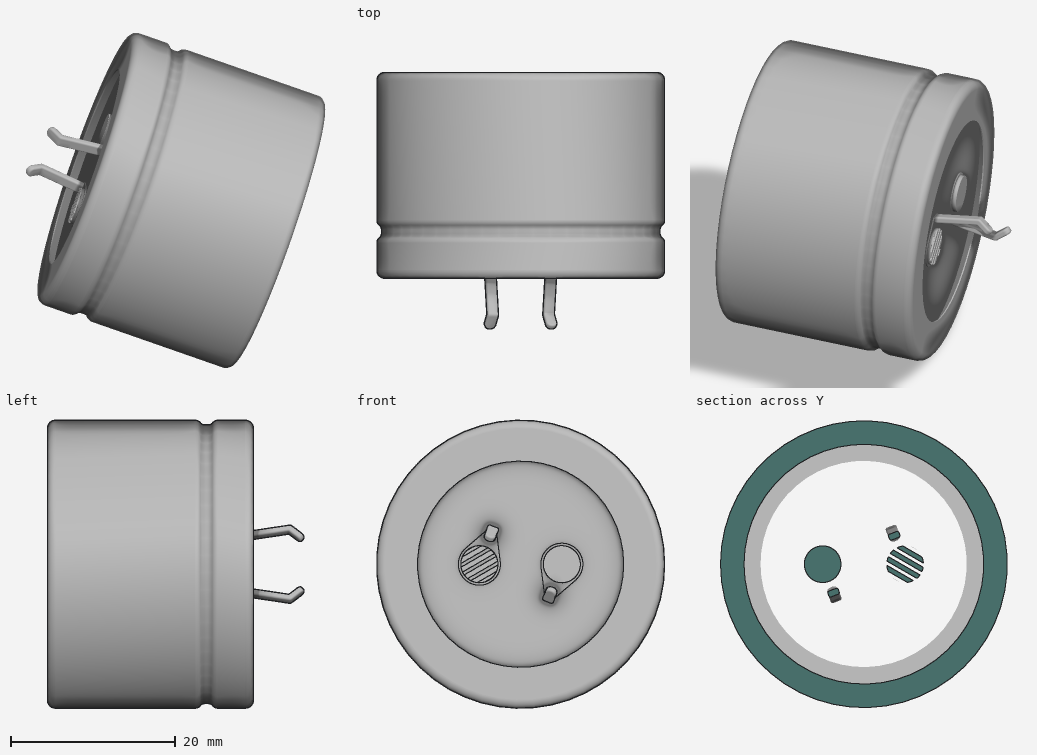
import cadquery as cq
import math

CAN_DIAMETER = 34.95
CAN_RADIUS = CAN_DIAMETER / 2
CAN_LENGTH = 25.0
CAN_EDGE_RADIUS = 1.0
AXIS_START = (0, 0, 0)
AXIS_END = (0, 1, 0)

GROOVE_CENTER = 5.7
GROOVE_DEPTH = 0.55
GROOVE_FLOOR_WIDTH = 0.55
GROOVE_RIM_RADIUS = 0.8
GROOVE_ROOT_RADIUS = 0.6

LIP_DIAMETER = 25.0
LIP_THICKNESS = 0.15
LID_DIAMETER = 29.0
LID_DEPTH = 1.2

TERMINAL_OFFSET = 5.0
TERMINAL_ANGLE = 21.0
PLATE_RADIUS = 2.55
PLATE_THICKNESS = 0.15
PLATE_LENGTH = 4.0
PLATE_END_WIDTH = 1.5
RIVET_DIAMETER = 4.5
RIVET_HEIGHT = 0.5

PIN_WIDTH = 1.4
PIN_THICKNESS = 0.8
PIN_EDGE_RADIUS = 0.25
PIN_TIP_RADIUS = 0.65
PIN_BEND_RADIUS = 0.5
PIN_ROOT_REACH = 3.8
PIN_BEND_REACH = 4.5
PIN_BEND_HEIGHT = 4.4
PIN_TIP_ANGLE = 39.0
PIN_END_HEIGHT = 6.14

MARK_COUNT = 5
MARK_PITCH = 1.0
MARK_WIDTH = 0.4
MARK_DEPTH = 0.2
MARK_ANGLE = 30.0


def along_axis(y_position):
    """Workplane at the given y, facing -Y, with local axes X and Z."""
    return cq.Workplane("XZ", origin=(0, y_position, 0))


def make_can():
    can = along_axis(0).circle(CAN_RADIUS).extrude(-CAN_LENGTH)
    return can.edges().fillet(CAN_EDGE_RADIUS)


def make_crimp_groove():
    """Ring with a flat floor and an S-shaped flank on either side."""
    radius_sum = GROOVE_RIM_RADIUS + GROOVE_ROOT_RADIUS
    angle = math.acos(1 - GROOVE_DEPTH / radius_sum)
    half_floor = GROOVE_FLOOR_WIDTH / 2
    floor_radius = CAN_RADIUS - GROOVE_DEPTH
    half_mouth = half_floor + radius_sum * math.sin(angle)

    def root_point(turn):
        return (floor_radius + GROOVE_ROOT_RADIUS * (1 - math.cos(turn)),
                half_floor + GROOVE_ROOT_RADIUS * math.sin(turn))

    def rim_point(turn):
        return (CAN_RADIUS - GROOVE_RIM_RADIUS * (1 - math.cos(turn)),
                half_mouth - GROOVE_RIM_RADIUS * math.sin(turn))

    def place(point, side):
        return (point[0], GROOVE_CENTER + side * point[1])

    profile = (
        cq.Workplane("XY")
        .moveTo(CAN_RADIUS, GROOVE_CENTER - half_mouth)
        .threePointArc(place(rim_point(angle / 2), -1), place(rim_point(angle), -1))
        .threePointArc(place(root_point(angle / 2), -1), place(root_point(0), -1))
        .lineTo(*place(root_point(0), 1))
        .threePointArc(place(root_point(angle / 2), 1), place(root_point(angle), 1))
        .threePointArc(place(rim_point(angle / 2), 1), place(rim_point(0), 1))
        .close()
    )
    return profile.revolve(360, (0, 0), (0, 1))


def make_lid_recess():
    mouth = along_axis(0).circle(LIP_DIAMETER / 2).extrude(-LID_DEPTH)
    undercut = along_axis(LIP_THICKNESS).circle(LID_DIAMETER / 2).extrude(LIP_THICKNESS - LID_DEPTH)
    return mouth.union(undercut)


def make_plate():
    """Teardrop: a round end with tangent sides running out to a narrow end."""
    half_end = PLATE_END_WIDTH / 2
    end_distance = math.hypot(PLATE_LENGTH, half_end)
    tangent_angle = math.atan2(PLATE_LENGTH, half_end) - math.acos(PLATE_RADIUS / end_distance)
    tangent_x = PLATE_RADIUS * math.cos(tangent_angle)
    tangent_z = PLATE_RADIUS * math.sin(tangent_angle)
    return (
        along_axis(LID_DEPTH)
        .moveTo(half_end, PLATE_LENGTH)
        .lineTo(tangent_x, tangent_z)
        .threePointArc((0, -PLATE_RADIUS), (-tangent_x, tangent_z))
        .lineTo(-half_end, PLATE_LENGTH)
        .close()
        .extrude(PLATE_THICKNESS)
    )


def make_rivet():
    return along_axis(LID_DEPTH).circle(RIVET_DIAMETER / 2).extrude(PLATE_THICKNESS + RIVET_HEIGHT)


def make_pin():
    """Flat pin leaning outwards, then bent back inwards to a rounded tip."""
    lean = math.atan((PIN_BEND_REACH - PIN_ROOT_REACH) / PIN_BEND_HEIGHT)
    tip_slope = math.radians(PIN_TIP_ANGLE)
    half = PIN_THICKNESS / 2

    foot = cq.Vector(LID_DEPTH, PIN_ROOT_REACH - LID_DEPTH * math.tan(lean))
    bend = cq.Vector(-PIN_BEND_HEIGHT, PIN_BEND_REACH)
    shank_normal = cq.Vector(math.sin(lean), math.cos(lean))
    tip_normal = cq.Vector(-math.sin(tip_slope), math.cos(tip_slope))
    rounding_loss = PIN_EDGE_RADIUS * (math.sqrt(2) - 1)
    tip_depth = PIN_END_HEIGHT - PIN_BEND_HEIGHT - half * math.sin(tip_slope) + rounding_loss
    tip = bend + cq.Vector(-tip_depth, -tip_depth * math.tan(tip_slope))

    miter = (shank_normal + tip_normal) * (half / (1 + shank_normal.dot(tip_normal)))
    outline = [
        foot + shank_normal * half,
        bend + miter,
        tip + tip_normal * half,
        tip - tip_normal * half,
        bend - miter,
        foot - shank_normal * half,
    ]
    bar = (
        cq.Workplane("YZ")
        .polyline([(point.x, point.y) for point in outline])
        .close()
        .extrude(PIN_WIDTH / 2, both=True)
    )
    outer_bend = bend + miter
    bend_edge = cq.selectors.NearestToPointSelector((0, outer_bend.x, outer_bend.y))
    bar = bar.edges(bend_edge).fillet(PIN_BEND_RADIUS)
    tip_corners = cq.selectors.ParallelDirSelector(cq.Vector(0, tip_normal.x, tip_normal.y))
    return bar.edges(tip_corners).fillet(PIN_TIP_RADIUS).edges().fillet(PIN_EDGE_RADIUS)


def make_terminal():
    """Plate, rivet and pin, built about the can axis with the pin towards +Z."""
    return make_plate().union(make_rivet()).union(make_pin())


def place_terminal(shape, turn):
    """Tilt a shape about its rivet, move it to -X and turn it about the can axis."""
    return (
        shape.rotate(AXIS_START, AXIS_END, TERMINAL_ANGLE)
        .translate((-TERMINAL_OFFSET, 0, 0))
        .rotate(AXIS_START, AXIS_END, turn)
    )


def make_polarity_grooves():
    """Slanted bars that cut grooves right across the face of the negative rivet."""
    rivet_face = LID_DEPTH - PLATE_THICKNESS - RIVET_HEIGHT
    bars = (
        along_axis(rivet_face)
        .rarray(1, MARK_PITCH, 1, MARK_COUNT)
        .rect(RIVET_DIAMETER, MARK_WIDTH)
        .extrude(-MARK_DEPTH)
    )
    return bars.rotate(AXIS_START, AXIS_END, -MARK_ANGLE).translate((-TERMINAL_OFFSET, 0, 0))


result = make_can().cut(make_crimp_groove()).cut(make_lid_recess())
terminal = make_terminal()
for turn in (0, 180):
    result = result.union(place_terminal(terminal, turn))
result = result.cut(make_polarity_grooves())